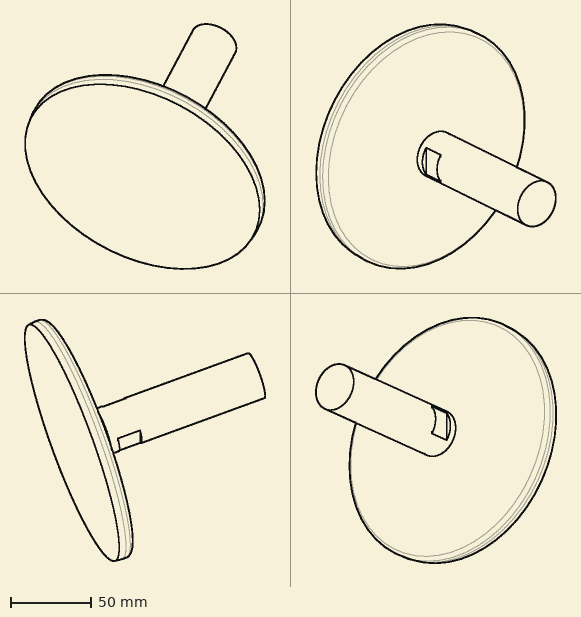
import cadquery as cq
import math


overall_length = 124.0
plate_radius = 79.0
face_radius = 78.5
rim_taper_height = 4.2
rim_top = 7.1
rim_round_radius = 2.8
cone_top = 20.7
cone_top_radius = 12.0
stem_radius = 15.0

flat_start = 26.0
flat_length = 15.0
across_flats = 24.0

round_centre_radius = plate_radius - rim_round_radius
run = round_centre_radius - cone_top_radius
rise = cone_top - rim_top
cone_angle = math.atan2(rise, run) - math.asin(rim_round_radius / math.hypot(run, rise))


def round_point(angle):
    """Point on the rim rounding; the angle is measured from the Y direction."""
    return (
        round_centre_radius + rim_round_radius * math.sin(angle),
        rim_top + rim_round_radius * math.cos(angle),
    )


def make_body():
    """Revolve the half profile of plate, cone and stem about the Y axis."""
    round_middle_angle = (cone_angle + math.pi / 2) / 2
    profile = (
        cq.Workplane("XY")
        .moveTo(0, 0)
        .lineTo(face_radius, 0)
        .lineTo(plate_radius, rim_taper_height)
        .lineTo(plate_radius, rim_top)
        .threePointArc(round_point(round_middle_angle), round_point(cone_angle))
        .lineTo(cone_top_radius, cone_top)
        .lineTo(stem_radius, cone_top)
        .lineTo(stem_radius, overall_length)
        .lineTo(0, overall_length)
        .close()
    )
    return profile.revolve(360, (0, 0, 0), (0, 1, 0))


def make_flat_cutter(side):
    """Block that removes the stem beyond one wrench flat; side is -1 or +1."""
    stem_diameter = 2 * stem_radius
    cutter = cq.Workplane("XY").box(stem_radius, flat_length, stem_diameter)
    centre_x = side * (across_flats / 2 + stem_radius / 2)
    centre_y = flat_start + flat_length / 2
    return cutter.translate((centre_x, centre_y, 0))


result = make_body()
for side in (-1, 1):
    result = result.cut(make_flat_cutter(side))